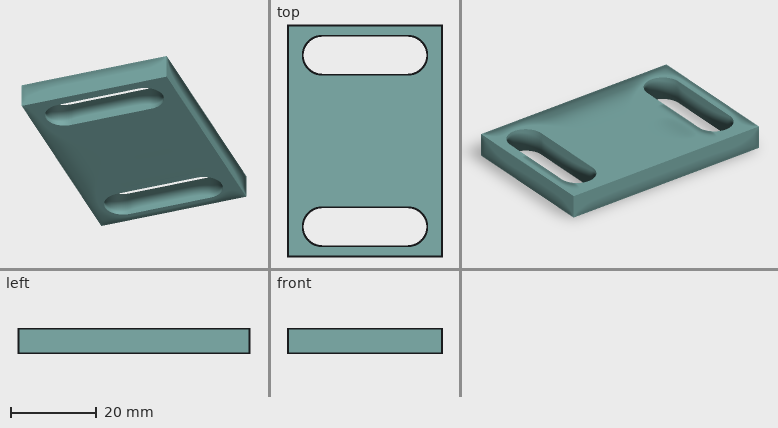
import cadquery as cq

plate_width = 36.0
plate_length = 54.0
plate_thickness = 5.8

slot_length = 29.0
slot_width = 9.0
slot_spacing = 40.0

plate = cq.Workplane("XY").box(plate_width, plate_length, plate_thickness)

result = (
    plate.faces(">Z")
    .workplane()
    .pushPoints([(0, -slot_spacing / 2), (0, slot_spacing / 2)])
    .slot2D(slot_length, slot_width)
    .cutThruAll()
)